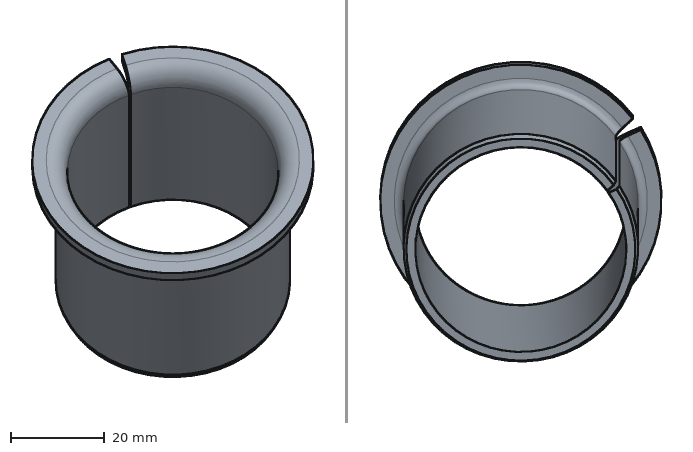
import cadquery as cq
import math

flange_diameter = 60.0
height = 45.0
bore_diameter = 45.0
wall = 2.5
mouth_radius = 4.5
chamfer_height = 1.7
chamfer_angle = 20.0
slit_width = 0.5
notch_width = 3.0

flange_radius = flange_diameter / 2
bore_radius = bore_diameter / 2
sleeve_radius = bore_radius + wall
neck_radius = mouth_radius - wall
bend_center_radius = bore_radius + mouth_radius
bend_center_z = height - mouth_radius
chamfer_width = chamfer_height * math.tan(math.radians(chamfer_angle))
diagonal = math.sqrt(0.5)


def bend_point(radius):
    """Middle of the quarter arc that turns the sleeve into the flange."""
    return (bend_center_radius - radius * diagonal, bend_center_z + radius * diagonal)


def flanged_sleeve():
    """Constant-thickness wall profile revolved about Z."""
    return (
        cq.Workplane("XZ")
        .moveTo(bore_radius, 0)
        .lineTo(sleeve_radius - chamfer_width, 0)
        .lineTo(sleeve_radius, chamfer_height)
        .lineTo(sleeve_radius, bend_center_z)
        .threePointArc(bend_point(neck_radius), (bend_center_radius, height - wall))
        .lineTo(flange_radius, height - wall)
        .lineTo(flange_radius, height)
        .lineTo(bend_center_radius, height)
        .threePointArc(bend_point(mouth_radius), (bore_radius, bend_center_z))
        .close()
        .revolve(360, (0, 0, 0), (0, 1, 0))
    )


def split_cutter():
    """Full-height wedge on the -X side, widening from the bore to the rim."""
    return (
        cq.Workplane("XY")
        .moveTo(-bore_radius, -slit_width / 2)
        .lineTo(-flange_radius, -notch_width / 2)
        .lineTo(-flange_radius, notch_width / 2)
        .lineTo(-bore_radius, slit_width / 2)
        .close()
        .extrude(height)
    )


result = flanged_sleeve().rotate((0, 0, 0), (0, 0, 1), 180).cut(split_cutter())